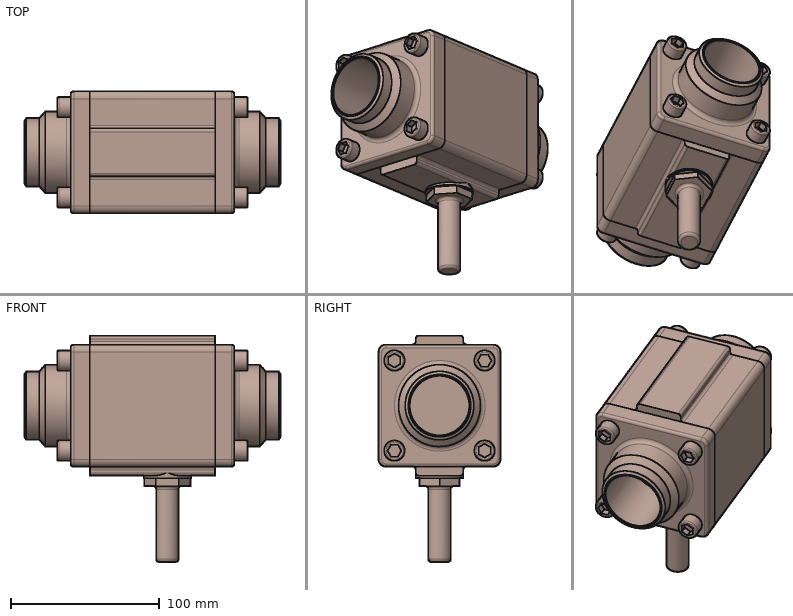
import cadquery as cq
import math

section_width = 82.0
section_corner_radius = 5.0

housing_length = 84.3
pad_width = 32.0
pad_height = 6.0
pad_edge_radius = 2.0
pad_foot_radius = 2.0
boss_radius = 16.0
boss_height = 1.7

cap_thickness = 12.9
cap_edge_radius = 2.0
neck_radius = 27.5
neck_fillet_radius = 3.0
tube_radius = 23.0
bore_radius = 20.0
rim_radius = 21.0
rim_chamfer_length = 1.2
overall_length = 172.0
cone_start = 71.9
cone_end = 76.0

screw_spacing = 60.5
screw_head_radius = 6.9
screw_head_height = 9.0
screw_edge_radius = 1.0
socket_flats = 8.0
socket_depth = 5.0

gland_offset = 10.0
hex_flats = 27.0
hex_height = 5.3
stem_radius = 7.5
stem_end_radius = 2.0
stem_root_radius = 2.0
stem_bottom = -105.1

half_section = section_width / 2
half_housing = housing_length / 2
cap_face = half_housing + cap_thickness
pad_face = half_section + pad_height
boss_face = pad_face + boss_height


def hex_corner_diameter(flats):
    return flats / math.cos(math.pi / 6)


def square_bar(start, length):
    """Bar of the common rounded square section, running along +X from start."""
    return (
        cq.Workplane("YZ", origin=(start, 0, 0))
        .rect(section_width, section_width)
        .extrude(length)
        .edges("|X")
        .fillet(section_corner_radius)
    )


def make_pad():
    """Raised pad on the +Z face: rounded upper edges and a concave fillet along each foot."""
    half_width = pad_width / 2
    foot_half_width = half_width + pad_foot_radius
    side_bottom = half_section + pad_foot_radius
    side_top = pad_face - pad_edge_radius
    top_half_width = half_width - pad_edge_radius
    return (
        cq.Workplane("YZ", origin=(-half_housing, 0, 0))
        .moveTo(-foot_half_width, 0)
        .lineTo(-foot_half_width, half_section)
        .radiusArc((-half_width, side_bottom), -pad_foot_radius)
        .lineTo(-half_width, side_top)
        .radiusArc((-top_half_width, pad_face), pad_edge_radius)
        .lineTo(top_half_width, pad_face)
        .radiusArc((half_width, side_top), pad_edge_radius)
        .lineTo(half_width, side_bottom)
        .radiusArc((foot_half_width, half_section), -pad_foot_radius)
        .lineTo(foot_half_width, 0)
        .close()
        .extrude(housing_length)
    )


def make_housing():
    """Block with a pad above and below, and a round boss for the gland on the lower pad."""
    pad = make_pad()
    lower_pad = pad.rotate((0, 0, 0), (1, 0, 0), 180)
    boss = (
        cq.Workplane("XY", origin=(gland_offset, 0, -boss_face))
        .circle(boss_radius)
        .extrude(boss_height + pad_edge_radius)
    )
    return square_bar(-half_housing, housing_length).union(pad).union(lower_pad).union(boss)


def make_neck():
    """Stepped pipe end turned about the X axis, with a fillet where it leaves the cap."""
    tube_end = overall_length / 2
    profile = (
        cq.Workplane("XY")
        .moveTo(half_housing, 0)
        .lineTo(half_housing, neck_radius + neck_fillet_radius)
        .lineTo(cap_face, neck_radius + neck_fillet_radius)
        .radiusArc((cap_face + neck_fillet_radius, neck_radius), -neck_fillet_radius)
        .lineTo(cone_start, neck_radius)
        .lineTo(cone_end, tube_radius)
        .lineTo(tube_end - rim_chamfer_length, tube_radius)
        .lineTo(tube_end, rim_radius)
        .lineTo(tube_end, 0)
        .close()
    )
    return profile.revolve(360, (0, 0, 0), (1, 0, 0))


def make_screw(y_side, z_side):
    """Socket head standing on the cap; sockets on one diagonal are turned a quarter turn."""
    centre_y = y_side * screw_spacing / 2
    centre_z = z_side * screw_spacing / 2
    head_top = cap_face + screw_head_height
    head = (
        cq.Workplane("YZ", origin=(cap_face, centre_y, centre_z))
        .circle(screw_head_radius)
        .extrude(screw_head_height)
        .faces(">X")
        .edges()
        .fillet(screw_edge_radius)
    )
    socket = (
        cq.Workplane("YZ", origin=(head_top - socket_depth, centre_y, centre_z))
        .polygon(6, hex_corner_diameter(socket_flats))
        .extrude(socket_depth)
    )
    if y_side != z_side:
        socket = socket.rotate((0, centre_y, centre_z), (1, centre_y, centre_z), 90)
    return head.cut(socket)


def make_end_cap():
    """End cap on the +X side, bored through, with its four screws."""
    cap = square_bar(half_housing, cap_thickness).faces(">X").edges().fillet(cap_edge_radius)
    cap = cap.union(make_neck())
    for y_side in (-1, 1):
        for z_side in (-1, 1):
            cap = cap.union(make_screw(y_side, z_side))
    bore = (
        cq.Workplane("YZ", origin=(half_housing, 0, 0))
        .circle(bore_radius)
        .extrude(overall_length / 2 - half_housing)
    )
    return cap.cut(bore)


def make_gland():
    """Hexagon against the boss, with a round stem hanging from it."""
    hex_bottom = -boss_face - hex_height
    hexagon = (
        cq.Workplane("XY", origin=(gland_offset, 0, hex_bottom))
        .polygon(6, hex_corner_diameter(hex_flats))
        .extrude(hex_height)
    )
    stem = (
        cq.Workplane("XZ", origin=(gland_offset, 0, 0))
        .moveTo(0, hex_bottom)
        .lineTo(stem_radius + stem_root_radius, hex_bottom)
        .radiusArc((stem_radius, hex_bottom - stem_root_radius), -stem_root_radius)
        .lineTo(stem_radius, stem_bottom + stem_end_radius)
        .radiusArc((stem_radius - stem_end_radius, stem_bottom), stem_end_radius)
        .lineTo(0, stem_bottom)
        .close()
        .revolve(360, (0, 0, 0), (0, 1, 0))
    )
    return hexagon.union(stem)


housing = make_housing()
gland = make_gland()
end_caps = [make_end_cap().rotate((0, 0, 0), (0, 1, 0), turn) for turn in (0, 180)]

result = cq.Compound.makeCompound(
    [housing.val(), *[cap.val() for cap in end_caps], gland.val()]
)